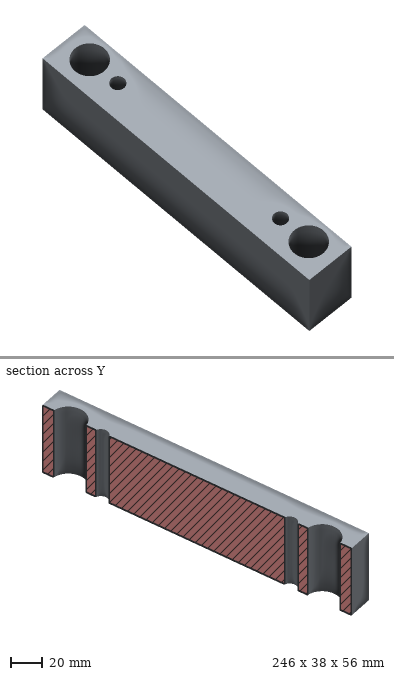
import cadquery as cq

length = 246.0
width = 38.0
height = 56.0

large_diameter = 26.0
large_spacing = 202.0
small_diameter = 11.0
small_spacing = 150.0
hole_row_y = 2.0


def drill_pair(body, diameter, spacing):
    """Drill two vertical through holes, centred along the length."""
    centers = [(-spacing / 2, hole_row_y), (spacing / 2, hole_row_y)]
    return body.faces(">Z").workplane(origin=(0, 0, 0)).pushPoints(centers).hole(diameter)


block = cq.Workplane("XY").box(length, width, height)
block = drill_pair(block, large_diameter, large_spacing)
result = drill_pair(block, small_diameter, small_spacing)